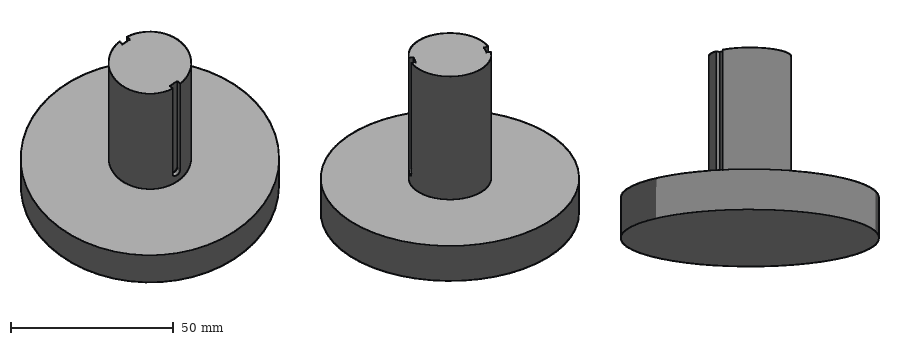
import cadquery as cq

flange_diameter = 79.375
flange_thickness = 12.7
shaft_diameter = 25.4
total_height = 57.15
slot_width = 3.0
slot_depth = 1.5
slot_gap_above_flange = 3.0
cutter_overrun = 1.0

shaft_radius = shaft_diameter / 2
slot_bottom = flange_thickness + slot_gap_above_flange


def make_flange():
    """Round base disc standing on the XY plane."""
    return cq.Workplane("XY").circle(flange_diameter / 2).extrude(flange_thickness)


def make_shaft():
    """Round shaft rising through the disc to the full height."""
    return cq.Workplane("XY").circle(shaft_radius).extrude(total_height)


def make_slot(side):
    """Keyway cutter on the +X (side = 1) or -X (side = -1) flank, open at the top, round at the bottom."""
    half_width = slot_width / 2
    slot_floor = shaft_radius - slot_depth
    arc_center = slot_bottom + half_width
    return (
        cq.Workplane("YZ")
        .workplane(offset=side * slot_floor)
        .moveTo(-half_width, total_height)
        .lineTo(-half_width, arc_center)
        .threePointArc((0, slot_bottom), (half_width, arc_center))
        .lineTo(half_width, total_height)
        .close()
        .extrude(side * (slot_depth + cutter_overrun))
    )


result = make_flange().union(make_shaft())
for side in (-1, 1):
    result = result.cut(make_slot(side))